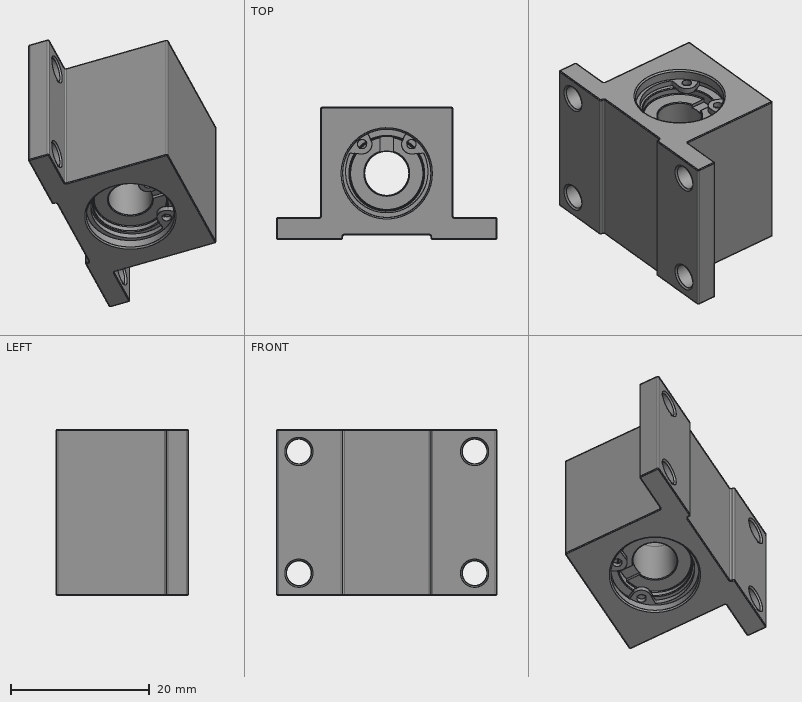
import cadquery as cq
import math

base_width = 31.75
depth = 19.05
height = 23.88
block_width = 19.05
base_thickness = 3.18
relief_width = 12.7
relief_depth = 0.65
edge_radius = 0.25
end_chamfer = 0.13
bore_chamfer = 0.22

hole_radius = 1.78
hole_chamfer = 0.25
hole_spacing_x = 25.3
hole_spacing_z = 17.53

bore_radius = 6.35
bearing_length = 19.05
shaft_radius = 3.18
shaft_chamfer = 0.13
end_recess_radius = 5.33
end_recess_depth = 1.05
end_recess_chamfer = 0.13
key_slot_width = 1.9
key_slot_depth = 0.5

ring_thickness = 0.85
groove_radius = 6.67
ring_inner_radius = 5.95
ring_inner_offset = 0.25
lug_hole_x = 3.55
lug_hole_y = 4.22
lug_hole_radius = 0.67
lug_nose_radius = 1.43
lug_open_flank_angle = 28.0
lug_ring_flank_angle = -94.0
lug_length = 3.8
lug_root_radius = 0.2

axis_y = depth / 2
half_height = height / 2
bearing_end = bearing_length / 2
ring_top = bearing_end + ring_thickness


def cylinder(radius, z_low, z_high, y=0.0):
    return cq.Workplane("XY", origin=(0, y, z_low)).circle(radius).extrude(z_high - z_low)


def make_housing():
    outline = [
        (-base_width / 2, 0),
        (-relief_width / 2, 0),
        (-relief_width / 2, relief_depth),
        (relief_width / 2, relief_depth),
        (relief_width / 2, 0),
        (base_width / 2, 0),
        (base_width / 2, base_thickness),
        (block_width / 2, base_thickness),
        (block_width / 2, depth),
        (-block_width / 2, depth),
        (-block_width / 2, base_thickness),
        (-base_width / 2, base_thickness),
    ]
    body = cq.Workplane("XY", origin=(0, 0, -half_height)).polyline(outline).close().extrude(height)
    body = body.edges("|Z").fillet(edge_radius)
    return body.faces("<Z or >Z").edges().chamfer(end_chamfer)


def make_mounting_holes():
    """Straight holes along Y with a countersunk edge at both faces of the base."""
    rim_radius = hole_radius + hole_chamfer
    section = [
        (0, 0),
        (rim_radius, 0),
        (hole_radius, hole_chamfer),
        (hole_radius, base_thickness - hole_chamfer),
        (rim_radius, base_thickness),
        (0, base_thickness),
    ]
    hole = cq.Workplane("XY").polyline(section).close().revolve(360, (0, 0, 0), (0, 1, 0))
    holes = cq.Workplane("XY")
    for side_x in (-1, 1):
        for side_z in (-1, 1):
            place = (side_x * hole_spacing_x / 2, 0, side_z * hole_spacing_z / 2)
            holes = holes.union(hole.translate(place))
    return holes


def make_end_cavity():
    """Stepped bore from the bearing mid-plane out to the +Z face, on the Z axis."""
    recess_floor = bearing_end - end_recess_depth
    section = [
        (0, 0),
        (shaft_radius, 0),
        (shaft_radius, recess_floor - shaft_chamfer),
        (shaft_radius + shaft_chamfer, recess_floor),
        (end_recess_radius - end_recess_chamfer, recess_floor),
        (end_recess_radius, recess_floor + end_recess_chamfer),
        (end_recess_radius, bearing_end - end_recess_chamfer),
        (end_recess_radius + end_recess_chamfer, bearing_end),
        (groove_radius, bearing_end),
        (groove_radius, ring_top),
        (bore_radius, ring_top),
        (bore_radius, half_height - bore_chamfer),
        (bore_radius + bore_chamfer, half_height),
        (0, half_height),
    ]
    cavity = cq.Workplane("XZ").polyline(section).close().revolve(360, (0, 0, 0), (0, 1, 0))
    key_slot = (
        cq.Workplane("XY", origin=(0, 0, recess_floor - key_slot_depth))
        .center(0, end_recess_radius / 2)
        .rect(key_slot_width, end_recess_radius)
        .extrude(key_slot_depth + end_recess_chamfer)
        .intersect(cylinder(end_recess_radius, 0, half_height))
    )
    return cavity.union(key_slot)


def make_lug():
    """Ear at the -X end of the ring: a round nose with two tangent flanks running out to the groove."""
    def nose_point(angle):
        x = -lug_hole_x + lug_nose_radius * math.cos(math.radians(angle))
        y = lug_hole_y + lug_nose_radius * math.sin(math.radians(angle))
        return x, y

    def flank_end(angle, turn):
        x, y = nose_point(angle)
        direction = math.radians(angle + turn)
        return x + lug_length * math.cos(direction), y + lug_length * math.sin(direction)

    return (
        cq.Workplane("XY", origin=(0, 0, bearing_end))
        .moveTo(*flank_end(lug_ring_flank_angle, -90))
        .lineTo(*nose_point(lug_ring_flank_angle))
        .threePointArc(
            nose_point((lug_open_flank_angle + lug_ring_flank_angle) / 2),
            nose_point(lug_open_flank_angle),
        )
        .lineTo(*flank_end(lug_open_flank_angle, 90))
        .close()
        .extrude(ring_thickness)
        .intersect(cylinder(groove_radius, bearing_end, ring_top))
    )


def make_ring():
    """Retaining ring at the +Z end of the bearing, open between its lugs on the +Y side."""
    band = cylinder(groove_radius, bearing_end, ring_top)
    band = band.cut(cylinder(ring_inner_radius, bearing_end, ring_top, ring_inner_offset))
    open_side = (
        cq.Workplane("XY", origin=(0, lug_hole_y + groove_radius, bearing_end))
        .rect(2 * groove_radius, 2 * groove_radius)
        .extrude(ring_thickness)
    )
    lug = make_lug()
    ring = band.cut(open_side).union(lug).union(lug.mirror("YZ"))
    root_y = lug_hole_y - lug_nose_radius
    root_zone = cq.selectors.BoxSelector(
        (-ring_inner_radius, root_y, bearing_end),
        (ring_inner_radius, root_y + 2 * lug_root_radius, ring_top),
    )
    ring = ring.edges("|Z").edges(root_zone).fillet(lug_root_radius)
    lug_holes = (
        cq.Workplane("XY", origin=(0, 0, bearing_end))
        .pushPoints([(-lug_hole_x, lug_hole_y), (lug_hole_x, lug_hole_y)])
        .circle(lug_hole_radius)
        .extrude(ring_thickness)
    )
    return ring.cut(lug_holes)


upper_cavity = make_end_cavity().cut(make_ring()).translate((0, axis_y, 0))
result = make_housing().cut(make_mounting_holes())
result = result.cut(upper_cavity).cut(upper_cavity.mirror("XY"))